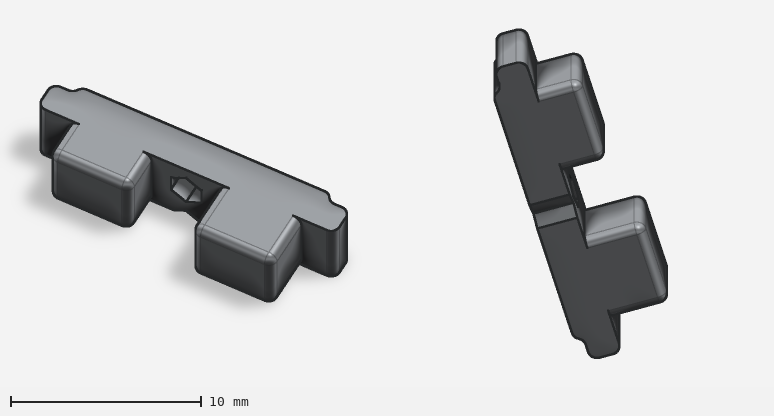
import cadquery as cq
import math

length = 17.71
height = 4.0
plate_depth = 2.2
edge_radius = 0.5

tab_step = 0.5
step_start = 0.94
step_blend_radius = edge_radius

boss_width = 4.8
boss_inset = 2.0
left_boss_reach = 2.4
right_boss_reach = 3.2

hex_across_flats = 1.8
hex_center_z = 2.23
notch_height = 0.4
notch_half_width = notch_height / math.tan(math.radians(30))

half_length = length / 2
tab_back = plate_depth - tab_step


def make_plate():
    """Bar with rounded end tabs and a smooth S-shaped step behind each tab."""
    step_run = math.sqrt(tab_step * (4 * step_blend_radius - tab_step))
    foot = (half_length - step_start, tab_back)
    top = (foot[0] - step_run, plate_depth)
    middle = ((foot[0] + top[0]) / 2, (foot[1] + top[1]) / 2)
    profile = (
        cq.Workplane("XY")
        .moveTo(0, 0)
        .lineTo(half_length - edge_radius, 0)
        .radiusArc((half_length, edge_radius), -edge_radius)
        .lineTo(half_length, tab_back - edge_radius)
        .radiusArc((half_length - edge_radius, tab_back), -edge_radius)
        .lineTo(*foot)
        .radiusArc(middle, step_blend_radius)
        .radiusArc(top, -step_blend_radius)
        .lineTo(0, plate_depth)
        .close()
    )
    half = profile.extrude(height)
    return half.union(half.mirror("YZ"))


def make_boss(left_x, reach):
    """Block on the front face with every edge rounded except at the plate."""
    return (
        cq.Workplane("XY")
        .box(boss_width, reach, height, centered=False)
        .edges("|Y or <Y")
        .fillet(edge_radius)
        .translate((left_x, -reach, 0))
    )


def make_hex_hole():
    """Hexagonal cutter along Y with one corner pointing up."""
    corner_diameter = hex_across_flats / math.cos(math.radians(30))
    return (
        cq.Workplane("XZ", origin=(0, 0, hex_center_z))
        .transformed(rotate=(0, 0, 90))
        .polygon(6, corner_diameter)
        .extrude(-plate_depth)
    )


def make_notch():
    """V-shaped cutter along Y, open at the bottom of the plate."""
    return (
        cq.Workplane("XZ")
        .polyline([(-notch_half_width, 0), (0, notch_height), (notch_half_width, 0)])
        .close()
        .extrude(-plate_depth)
    )


left_boss = make_boss(-half_length + boss_inset, left_boss_reach)
right_boss = make_boss(half_length - boss_inset - boss_width, right_boss_reach)

result = (
    make_plate()
    .union(left_boss)
    .union(right_boss)
    .cut(make_hex_hole())
    .cut(make_notch())
)